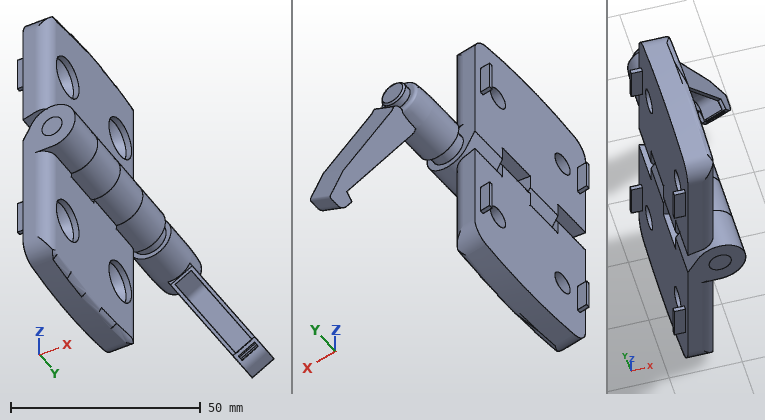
import cadquery as cq
import math

axis_x = 8.8
barrel_radius = 7.0
pin_radius = 3.0
leaf_width = 48.0
leaf_height = 43.3
leaf_thickness = 7.9
end_radius = 115.2
corner_radius = 5.9
side_round = 4.0
end_round = 1.6
knuckle_count = 4
knuckle_width = leaf_width / knuckle_count
flank_angle = 60.0
notch_offset = 6.1
notch_angle = 15.0

mount_z = 25.0
hole_spacing = 28.0
hole_diameter = 6.6
head_diameter = 12.0
countersink_start = 3.5
tab_spacing = 42.0
tab_width = 1.1
tab_length = 10.0
tab_height = 3.0

collar_radius = 5.0
collar_length = 3.9

handle_angle = 60.0
hub_start = leaf_width / 2 + collar_length
hub_radius = 6.5
hub_straight = 11.0
hub_taper = 6.7
hub_top_radius = 6.1
hub_edge_round = 0.9
button_radius = 3.9
button_height = 2.6
button_chamfer = 0.5

arm_width = 7.6
arm_root = 4.1
arm_reach = 40.0
arm_top = 53.5
arm_back_end = 5.3
arm_back_round = 2.3
arm_bend = 31.0
arm_top_slope = 12.0
arm_slope_start = 6.75
arm_under_slope = 20.5
lip_reach = 34.8
lip_depth = 3.1
tip_round = 2.9
tip_edge_round = 0.6

pocket_width = 5.6
pocket_start = 7.5
pocket_end = 35.8
pocket_bend = 32.2
pocket_wall = 1.5
pocket_round = 1.9
lip_pocket_start = 36.9
lip_pocket_end = 38.7
lip_pocket_side = 0.4
lip_pocket_depth = 0.9
lip_pocket_floor = 47.9


def sine(degrees):
    return math.sin(math.radians(degrees))


def cosine(degrees):
    return math.cos(math.radians(degrees))


def tangent(degrees):
    return math.tan(math.radians(degrees))


def end_blank():
    """Slab with straight sides and a curved lower end."""
    half = leaf_width / 2
    sagitta = end_radius - math.sqrt(end_radius**2 - half**2)
    return (
        cq.Workplane("YZ")
        .moveTo(-half, -notch_offset)
        .lineTo(-half, sagitta - leaf_height)
        .threePointArc((0, -leaf_height), (half, sagitta - leaf_height))
        .lineTo(half, -notch_offset)
        .close()
        .extrude(leaf_thickness)
    )


def leaf_plate():
    """Plate below the hinge axis, with rounded corners and front edges."""
    cornered = end_blank().edges("|X and (not >Z)").fillet(corner_radius)
    end_rounded = end_blank().faces(">X").edges("<Z").fillet(end_round)
    side_rounded = (
        cq.Workplane("XY")
        .rect(2 * leaf_thickness, leaf_width)
        .extrude(-leaf_height)
        .edges(">X and |Z")
        .fillet(side_round)
    )
    return cornered.intersect(end_rounded).intersect(side_rounded)


def knuckle(index):
    """One barrel segment with its flat flank down to the mounting face."""
    flank_x = axis_x - barrel_radius * sine(flank_angle)
    flank_z = barrel_radius * cosine(flank_angle)
    flank_foot = flank_z - flank_x * tangent(flank_angle)
    start_y = index * knuckle_width - leaf_width / 2
    return (
        cq.Workplane("XZ", origin=(0, start_y, 0))
        .moveTo(0, flank_foot)
        .lineTo(flank_x, flank_z)
        .threePointArc((axis_x + barrel_radius, 0), (axis_x, -barrel_radius))
        .lineTo(0, -barrel_radius)
        .close()
        .extrude(-knuckle_width)
    )


def knuckle_notch(index):
    """Clearance for a knuckle of the other leaf, with a sloping floor."""
    start_y = index * knuckle_width - leaf_width / 2
    floor_drop = leaf_thickness * tangent(notch_angle)
    return (
        cq.Workplane("XZ", origin=(0, start_y, 0))
        .polyline([
            (0, 0),
            (0, -notch_offset),
            (leaf_thickness, -notch_offset - floor_drop),
            (leaf_thickness, 0),
        ])
        .close()
        .extrude(-knuckle_width)
    )


def mounting_hole(y):
    """Screw hole with a 90 degree countersink sunk below the front face."""
    hole_radius = hole_diameter / 2
    head_radius = head_diameter / 2
    cone_end = countersink_start + head_radius - hole_radius
    return (
        cq.Workplane("XY", origin=(0, y, -mount_z))
        .polyline([
            (0, 0),
            (0, hole_radius),
            (countersink_start, hole_radius),
            (cone_end, head_radius),
            (leaf_thickness, head_radius),
            (leaf_thickness, 0),
        ])
        .close()
        .revolve(360, (0, 0, 0), (1, 0, 0))
    )


def locating_tabs():
    centers = [(side * tab_spacing / 2, -mount_z) for side in (-1, 1)]
    return cq.Workplane("YZ").pushPoints(centers).rect(tab_width, tab_length).extrude(-tab_height)


def hinge_leaf():
    """Lower leaf; knuckles 0 and 2 are its own, 1 and 3 belong to the other leaf."""
    leaf = leaf_plate()
    for index in range(0, knuckle_count, 2):
        leaf = leaf.cut(knuckle_notch(index + 1)).union(knuckle(index))
    pin_bore = (
        cq.Workplane("XZ").center(axis_x, 0).circle(pin_radius).extrude(leaf_width, both=True)
    )
    for side in (-1, 1):
        leaf = leaf.cut(mounting_hole(side * hole_spacing / 2))
    return leaf.cut(pin_bore).union(locating_tabs())


def hinge_pin():
    """Pin through all knuckles, with a collar between the leaves and the handle."""
    rod = (
        cq.Workplane("XZ", origin=(axis_x, -leaf_width / 2, 0))
        .circle(pin_radius)
        .extrude(-leaf_width)
    )
    collar = (
        cq.Workplane("XZ", origin=(axis_x, leaf_width / 2, 0))
        .circle(collar_radius)
        .extrude(-collar_length)
    )
    return rod.union(collar)


arm_plane = cq.Plane(
    origin=(axis_x, 0, 0),
    xDir=(cosine(handle_angle), 0, -sine(handle_angle)),
    normal=(sine(handle_angle), 0, cosine(handle_angle)),
)
hub_shoulder = hub_start + hub_straight
hub_top = hub_shoulder + hub_taper


def turned(profile):
    """Full turn of a closed profile around the hinge axis."""
    return profile.close().revolve(360, (0, 0, 0), (0, 1, 0))


def hub():
    """Cylinder, bulged taper and top button, turned as one profile."""
    taper_end = hub_top - hub_edge_round
    corner = hub_edge_round * (1 - sine(45))
    button_top = hub_top + button_height
    return turned(
        cq.Workplane(arm_plane)
        .moveTo(0, hub_start)
        .lineTo(hub_radius, hub_start)
        .lineTo(hub_radius, hub_shoulder)
        .tangentArcPoint((hub_top_radius, taper_end), relative=False)
        .threePointArc(
            (hub_top_radius - corner, hub_top - corner),
            (hub_top_radius - hub_edge_round, hub_top),
        )
        .lineTo(button_radius, hub_top)
        .lineTo(button_radius, button_top - button_chamfer)
        .lineTo(button_radius - button_chamfer, button_top)
        .lineTo(0, button_top)
    )


def arm_blank():
    """Solid arm with a hooked lip at the tip."""
    back_top = arm_top - (arm_bend - arm_slope_start) * tangent(arm_top_slope)
    back_run = arm_back_end - arm_root
    back_rise = math.sqrt(arm_back_round**2 - (arm_back_round - back_run) ** 2)
    lip_corner_y = hub_shoulder + (lip_reach - arm_slope_start) * tangent(arm_under_slope)
    lip_foot_x = lip_reach + lip_depth * sine(arm_under_slope)
    lip_foot_y = lip_corner_y - lip_depth * cosine(arm_under_slope)
    round_start_x = arm_reach - tip_round * (1 - sine(arm_under_slope))
    round_start_y = lip_foot_y + (round_start_x - lip_foot_x) * tangent(arm_under_slope)
    round_center_x = arm_reach - tip_round
    round_center_y = round_start_y + tip_round * cosine(arm_under_slope)
    mid_angle = (90 - arm_under_slope) / 2
    return (
        cq.Workplane(arm_plane)
        .moveTo(arm_root, hub_shoulder)
        .lineTo(arm_slope_start, hub_shoulder)
        .lineTo(lip_reach, lip_corner_y)
        .lineTo(lip_foot_x, lip_foot_y)
        .lineTo(round_start_x, round_start_y)
        .threePointArc(
            (
                round_center_x + tip_round * cosine(mid_angle),
                round_center_y - tip_round * sine(mid_angle),
            ),
            (arm_reach, round_center_y),
        )
        .lineTo(arm_reach, arm_top - tip_edge_round)
        .threePointArc(
            (
                arm_reach - tip_edge_round * (1 - sine(45)),
                arm_top - tip_edge_round * (1 - sine(45)),
            ),
            (arm_reach - tip_edge_round, arm_top),
        )
        .lineTo(arm_bend, arm_top)
        .lineTo(arm_slope_start, back_top)
        .lineTo(arm_back_end, back_top)
        .radiusArc((arm_root, back_top - back_rise), -arm_back_round)
        .close()
        .extrude(arm_width / 2, both=True)
    )


def arm_pocket():
    """Hollow under the arm; its floor follows the two outer faces."""
    floor = arm_top - pocket_wall
    floor_start = floor - (pocket_bend - pocket_start) * tangent(arm_top_slope)
    pocket = (
        cq.Workplane(arm_plane)
        .polyline([
            (pocket_start, hub_start),
            (pocket_end, hub_start),
            (pocket_end, floor),
            (pocket_bend, floor),
            (pocket_start, floor_start),
        ])
        .close()
        .extrude(pocket_width / 2, both=True)
    )
    for corner in [(pocket_end, floor, 0), (pocket_start, floor_start, 0)]:
        corner_point = arm_plane.toWorldCoords(corner).toTuple()
        pocket = pocket.edges(cq.selectors.NearestToPointSelector(corner_point)).fillet(pocket_round)
    return pocket


def lip_pocket():
    """Shallow tray with sloping sides in the underside of the lip."""
    opening = lip_pocket_floor - lip_pocket_depth
    return (
        cq.Workplane(arm_plane)
        .polyline([
            (lip_pocket_start, opening),
            (lip_pocket_end, opening),
            (lip_pocket_end - lip_pocket_side, lip_pocket_floor),
            (lip_pocket_start + lip_pocket_side, lip_pocket_floor),
        ])
        .close()
        .extrude(pocket_width / 2, both=True)
    )


def clamping_handle():
    return hub().union(arm_blank()).cut(arm_pocket()).cut(lip_pocket())


lower_leaf = hinge_leaf()
upper_leaf = hinge_leaf().rotate((0, 0, 0), (1, 0, 0), 180)
pin = hinge_pin()
handle = clamping_handle()

result = cq.Compound.makeCompound([lower_leaf.val(), upper_leaf.val(), pin.val(), handle.val()])